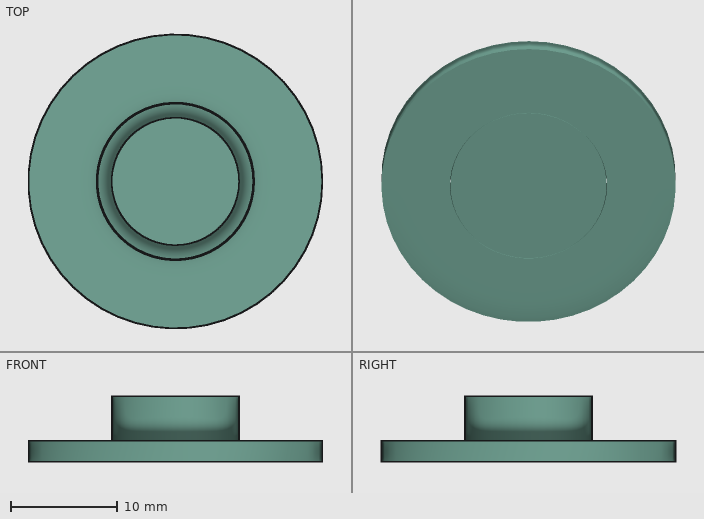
import cadquery as cq

washer_diameter = 27.7
washer_thickness = 2.0
washer_hole_diameter = 14.8
radial_clearance = 0.05
boss_diameter = 12.0
overall_height = 6.2

flange_diameter = washer_hole_diameter - 2 * radial_clearance
flange_thickness = washer_thickness
boss_height = overall_height - flange_thickness


def make_washer():
    """Flat ring that surrounds the button's flange."""
    return (
        cq.Workplane("XY")
        .circle(washer_diameter / 2)
        .circle(washer_hole_diameter / 2)
        .extrude(washer_thickness)
    )


def make_button():
    """Round flange with a narrower boss standing on it."""
    flange = cq.Workplane("XY").circle(flange_diameter / 2).extrude(flange_thickness)
    return flange.faces(">Z").workplane().circle(boss_diameter / 2).extrude(boss_height)


washer = make_washer()
button = make_button()

result = cq.Compound.makeCompound([washer.val(), button.val()])